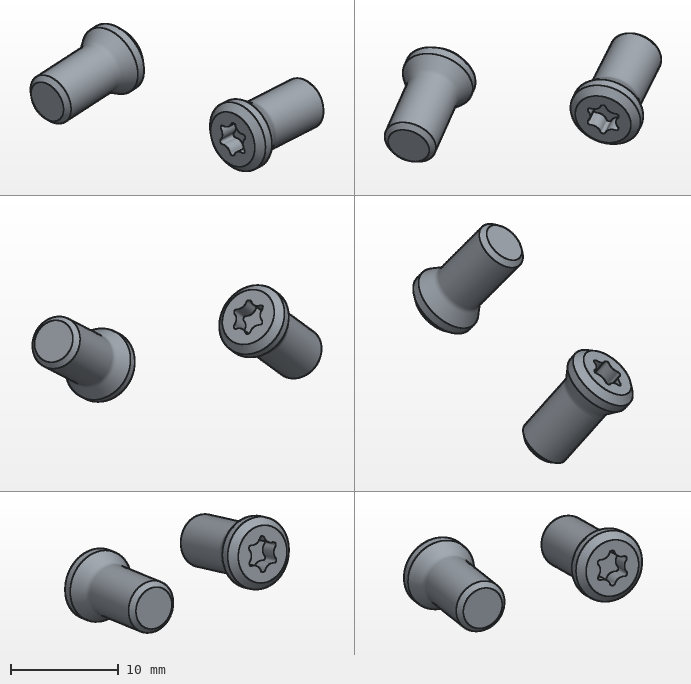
import cadquery as cq
import math

head_radius = 3.4
shank_radius = 2.5
screw_length = 10.5
head_chamfer = 0.7
head_rim_end = 1.6
tip_chamfer = 0.5
cone_angle = math.radians(30)
neck_fillet = 1.0

lobe_count = 6
lobe_tip_radius = 1.7
valley_radius = 1.25
lobe_round = 0.25
socket_depth = 1.88

overall_x = 23.5
head_face_y = 1.76
head_height_step = 1.32
tilt = 3.0


def make_blank():
    """Turned screw along +Z, with its head face at Z = 0."""
    cone_end = head_rim_end + (head_radius - shank_radius) / math.tan(cone_angle)
    tangent = neck_fillet * math.tan(cone_angle / 2)
    fillet_start = (
        shank_radius + tangent * math.sin(cone_angle),
        cone_end - tangent * math.cos(cone_angle),
    )
    fillet_middle = (
        shank_radius + neck_fillet * (1 - math.cos(cone_angle / 2)),
        cone_end + tangent - neck_fillet * math.sin(cone_angle / 2),
    )
    return (
        cq.Workplane("XZ")
        .moveTo(0, 0)
        .lineTo(head_radius - head_chamfer, 0)
        .lineTo(head_radius, head_chamfer)
        .lineTo(head_radius, head_rim_end)
        .lineTo(*fillet_start)
        .threePointArc(fillet_middle, (shank_radius, cone_end + tangent))
        .lineTo(shank_radius, screw_length - tip_chamfer)
        .lineTo(shank_radius - tip_chamfer, screw_length)
        .lineTo(0, screw_length)
        .close()
        .revolve(360, (0, 0, 0), (0, 1, 0))
    )


def polar(radius, angle):
    return radius * math.cos(angle), radius * math.sin(angle)


def make_socket():
    """Six-lobe recess whose convex and concave arcs meet tangentially."""
    half_pitch = math.pi / lobe_count
    lobe_centre = lobe_tip_radius - lobe_round
    across = lobe_centre * math.cos(half_pitch)
    valley_round = (
        lobe_centre**2 + valley_radius**2 - 2 * valley_radius * across - lobe_round**2
    ) / (2 * (lobe_round - valley_radius + across))
    valley_centre = valley_radius + valley_round

    share = lobe_round / (lobe_round + valley_round)
    valley_x, valley_y = polar(valley_centre, half_pitch)
    join_x = lobe_centre + share * (valley_x - lobe_centre)
    join_y = share * valley_y
    join_radius = math.hypot(join_x, join_y)
    join_angle = math.atan2(join_y, join_x)

    outline = cq.Workplane("XY").moveTo(*polar(join_radius, math.pi / 2 - join_angle))
    for lobe in range(lobe_count):
        angle = math.pi / 2 + 2 * half_pitch * lobe
        next_angle = angle + 2 * half_pitch
        outline = outline.threePointArc(
            polar(lobe_tip_radius, angle), polar(join_radius, angle + join_angle)
        )
        outline = outline.threePointArc(
            polar(valley_radius, angle + half_pitch),
            polar(join_radius, next_angle - join_angle),
        )
    return outline.close().extrude(socket_depth)


def make_screw(turn, x, y, z):
    """Lay the screw along -Y, dip its tip, turn it about Z and move its head face into place."""
    screw = make_blank().cut(make_socket())
    return (
        screw.rotate((0, 0, 0), (1, 0, 0), 90 + tilt)
        .rotate((0, 0, 0), (0, 0, 1), turn)
        .translate((x, y, z))
    )


screws = []
for side, turn in ((-1, 0), (1, 180)):
    screw_x = side * (overall_x / 2 - head_radius)
    screws.append(make_screw(turn, screw_x, -side * head_face_y, -side * head_height_step / 2))

result = cq.Compound.makeCompound([screw.val() for screw in screws])